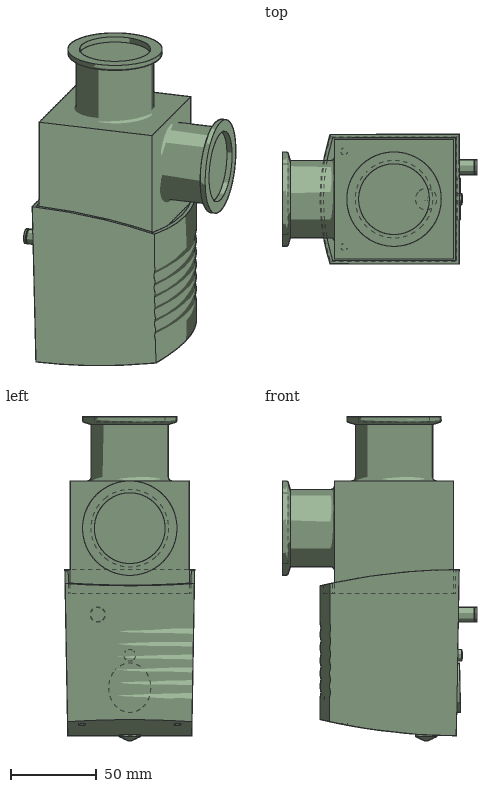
import cadquery as cq
import math


port_reach = 65.0
flange_radius = 27.5
flange_rim = 2.0
shoulder_radius = 26.4
shoulder_depth = 3.5
cone_depth = 4.7
pipe_radius = 22.6
bore_radius = 20.6
bore_depth = 3.2
foot_fillet = 2.0

block_width = 69.5
block_half = block_width / 2
block_top = 27.6

draft = math.radians(1.0)
cover_top = -24.1
cover_bottom = -120.9
cover_half_width = 37.85
cover_back = 38.0
front_radius = 124.0
front_tip = -43.1
front_axis = front_tip + front_radius
crown_radius = 352.0
crown_reach = cover_back - front_tip
wall = 2.0
cavity_floor = -38.0
clearance = 5.0

grip_count = 6
grip_pitch = 7.5
grip_middle = -77.0
grip_amplitude = 0.25

knob_x = 18.7
knob_radius = 6.2
knob_tip_radius = 1.0
knob_rim_end = -121.4
knob_end = -123.8

tube_y = 18.6
tube_z = -50.3
tube_radius = 4.4
tube_end = 48.4
tube_groove_width = 0.6
tube_groove_depth = 0.3
tube_groove_start = tube_end - 1.8

button_z = -74.0
button_radius = 3.4
button_rim_end = 39.4
button_end = 40.0

plate_z = -92.9
plate_height = 28.7
plate_width = 24.5
plate_middle = 38.5
plate_tilt = 1.3
plate_depth = 4.0

screw_x = -29.0
screw_y = 27.8
screw_radius = 2.0
screw_depth = 1.0

embed = 2.0


def crown_drop(reach):
    """Height lost by a crowned end at a distance in front of the back."""
    return crown_radius - math.sqrt(crown_radius ** 2 - reach ** 2)


def back_at(z):
    """X of the drafted back face at height z."""
    return cover_back - (cover_top - z) * math.tan(draft)


def half_width_at(z):
    """Half width of the drafted cover at height z."""
    return cover_half_width - (cover_top - z) * math.tan(draft)


def flanged_port(foot):
    """Flanged port along +Z with a shallow blind bore, standing on a face at height foot."""
    round_sag = math.sqrt(0.5)
    round_mid = (
        shoulder_radius + (flange_radius - shoulder_radius) * round_sag,
        port_reach - flange_rim - (shoulder_depth - flange_rim) * round_sag,
    )
    fillet_mid = foot_fillet * (1 - math.sqrt(0.5))
    profile = (
        cq.Workplane("XZ")
        .moveTo(0, foot - embed)
        .lineTo(pipe_radius + foot_fillet, foot - embed)
        .lineTo(pipe_radius + foot_fillet, foot)
        .threePointArc(
            (pipe_radius + fillet_mid, foot + fillet_mid),
            (pipe_radius, foot + foot_fillet),
        )
        .lineTo(pipe_radius, port_reach - cone_depth)
        .lineTo(shoulder_radius, port_reach - shoulder_depth)
        .threePointArc(round_mid, (flange_radius, port_reach - flange_rim))
        .lineTo(flange_radius, port_reach)
        .lineTo(bore_radius, port_reach)
        .lineTo(bore_radius, port_reach - bore_depth)
        .lineTo(0, port_reach - bore_depth)
        .close()
    )
    return profile.revolve(360, (0, 0, 0), (0, 1, 0))


def valve_block():
    height = block_top - cavity_floor + embed
    return cq.Workplane("XY", origin=(0, 0, cavity_floor - embed)).box(
        block_width, block_width, height, centered=(True, True, False)
    )


def cover_side_prism():
    """Side outline of the cover, with crowned ends and drafted back, extruded across Y."""
    front_drop = crown_drop(crown_reach)
    mid_drop = crown_drop(crown_reach / 2)
    mid_x = cover_back - crown_reach / 2
    bottom_back = back_at(cover_bottom)
    return (
        cq.Workplane("XZ")
        .moveTo(cover_back, cover_top)
        .threePointArc((mid_x, cover_top - mid_drop), (front_tip, cover_top - front_drop))
        .lineTo(front_tip, cover_bottom + front_drop)
        .threePointArc((mid_x, cover_bottom + mid_drop), (bottom_back, cover_bottom))
        .close()
        .extrude(cover_half_width + clearance, both=True)
    )


def drafted_prism(inset, bottom, top):
    """Cover width with drafted sides, extruded along X between the front tip and the back."""
    return (
        cq.Workplane("YZ", origin=(front_tip, 0, 0))
        .polyline([
            (half_width_at(top) - inset, top),
            (inset - half_width_at(top), top),
            (inset - half_width_at(bottom), bottom),
            (half_width_at(bottom) - inset, bottom),
        ])
        .close()
        .extrude(crown_reach)
    )


def grip_front():
    """Disc about the front axis whose rim is the bowed front with its grip waves."""
    arc_height = grip_pitch / 2
    half_arc = arc_height / 2
    wave_radius = (half_arc ** 2 + grip_amplitude ** 2) / (2 * grip_amplitude)
    quarter_drop = wave_radius - math.sqrt(wave_radius ** 2 - (half_arc / 2) ** 2)
    mid_level = front_tip + grip_amplitude
    grip_top = grip_middle + grip_count * grip_pitch / 2
    grip_bottom = grip_middle - grip_count * grip_pitch / 2

    outline = (
        cq.Workplane("XZ")
        .moveTo(front_axis, cover_top + clearance)
        .lineTo(front_tip, cover_top + clearance)
        .lineTo(front_tip, grip_top)
        .threePointArc((front_tip + quarter_drop, grip_top - half_arc / 2), (mid_level, grip_top - half_arc))
    )
    z = grip_top - half_arc
    for arc in range(2 * grip_count - 1):
        sign = 1 if arc % 2 == 0 else -1
        outline = outline.threePointArc(
            (mid_level + sign * grip_amplitude, z - half_arc),
            (mid_level, z - arc_height),
        )
        z -= arc_height
    outline = (
        outline
        .threePointArc((front_tip + quarter_drop, grip_bottom + half_arc / 2), (front_tip, grip_bottom))
        .lineTo(front_tip, cover_bottom - clearance)
        .lineTo(front_axis, cover_bottom - clearance)
        .close()
    )
    return outline.revolve(360, (front_axis, 0, 0), (front_axis, 1, 0))


def cover():
    outside = cover_side_prism().intersect(drafted_prism(0, cover_bottom - clearance, cover_top + clearance))
    return outside.intersect(grip_front())


def cavity():
    """Open-topped recess that leaves an even wall around the valve block."""
    top = cover_top + clearance
    front_cylinder = (
        cq.Workplane("XY", origin=(front_axis, 0, cavity_floor))
        .circle(front_radius - wall)
        .extrude(top - cavity_floor)
    )
    behind_back = (
        cq.Workplane("XZ")
        .polyline([
            (back_at(top) - wall, top),
            (front_tip, top),
            (front_tip, cavity_floor),
            (back_at(cavity_floor) - wall, cavity_floor),
        ])
        .close()
        .extrude(cover_half_width, both=True)
    )
    return drafted_prism(wall, cavity_floor, top).intersect(behind_back).intersect(front_cylinder)


def bottom_knob():
    """Round knob with a conical end under the cover."""
    start = cover_bottom + embed
    return (
        cq.Workplane("XZ", origin=(knob_x, 0, 0))
        .polyline([
            (0, start),
            (knob_radius, start),
            (knob_radius, knob_rim_end),
            (knob_tip_radius, knob_end),
            (0, knob_end),
        ])
        .close()
        .revolve(360, (0, 0, 0), (0, 1, 0))
    )


def air_tube():
    """Tube stub on the back with a shallow ring groove near its end."""
    start = back_at(tube_z) - embed
    stub = cq.Workplane("YZ", origin=(start, tube_y, tube_z)).circle(tube_radius).extrude(tube_end - start)
    groove = (
        cq.Workplane("YZ", origin=(tube_groove_start, tube_y, tube_z))
        .circle(tube_radius + clearance)
        .circle(tube_radius - tube_groove_depth)
        .extrude(tube_groove_width)
    )
    return stub.cut(groove)


def back_button():
    """Low domed button on the back."""
    start = back_at(button_z) - embed
    dome_height = button_end - button_rim_end
    dome_radius = (button_radius ** 2 + dome_height ** 2) / (2 * dome_height)
    dome_mid_drop = dome_radius - math.sqrt(dome_radius ** 2 - (button_radius / 2) ** 2)
    return (
        cq.Workplane("XY", origin=(0, 0, button_z))
        .moveTo(start, 0)
        .lineTo(start, button_radius)
        .lineTo(button_rim_end, button_radius)
        .threePointArc((button_end - dome_mid_drop, button_radius / 2), (button_end, 0))
        .close()
        .revolve(360, (0, 0, 0), (1, 0, 0))
    )


def back_plate():
    """Thin oval plate on the back, leaning slightly outward at its lower edge."""
    plate = (
        cq.Workplane("YZ", origin=(plate_middle - plate_depth, 0, plate_z))
        .ellipse(plate_width / 2, plate_height / 2)
        .extrude(plate_depth)
    )
    pivot = (plate_middle, 0, plate_z)
    pivot_end = (plate_middle, 1, plate_z)
    return plate.rotate(pivot, pivot_end, -plate_tilt)


def screw_holes():
    """Two blind holes in the underside near the front corners."""
    surface = cover_bottom + crown_drop(back_at(cover_bottom) - screw_x)
    return (
        cq.Workplane("XY", origin=(0, 0, surface + screw_depth))
        .pushPoints([(screw_x, -screw_y), (screw_x, screw_y)])
        .circle(screw_radius)
        .extrude(-screw_depth - clearance)
    )


top_port = flanged_port(block_top)
side_port = flanged_port(block_half).rotate((0, 0, 0), (0, 1, 0), -90)

result = cover().cut(cavity()).cut(screw_holes())
for piece in (valve_block(), top_port, side_port, bottom_knob(), air_tube(), back_button(), back_plate()):
    result = result.union(piece)